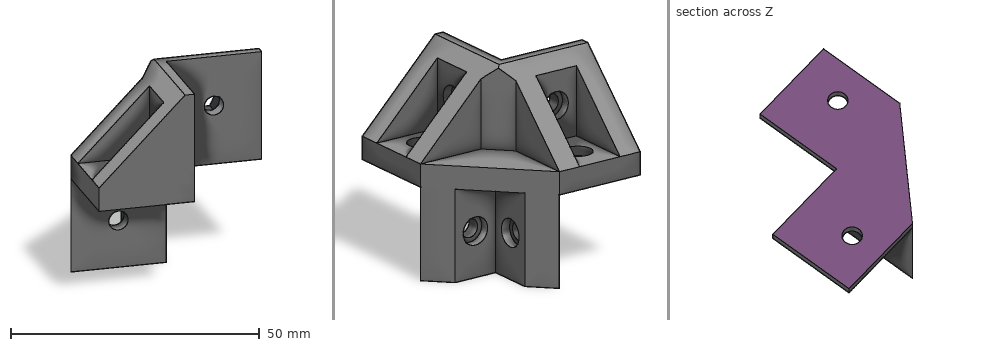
import cadquery as cq

leg = 20.0
wall = 5.0
height = 43.0
rib = 5.0
hole_diameter = 4.0
counterbore_diameter = 6.0
counterbore_depth = 2.0

top = height - leg
land = leg + wall - top
pocket_depth = leg - wall
pocket_width = leg - 2 * rib


def box(x0, x1, y0, y1, z0, z1):
    return cq.Workplane("XY").box(x1 - x0, y1 - y0, z1 - z0, centered=False).translate((x0, y0, z0))


def swap_xy(body):
    """Mirror a body across the vertical plane x = y."""
    return body.mirror(cq.Vector(1, -1, 0), (0, 0, 0))


def sloped_bar(x0, x1):
    """Bar along X with a 45 degree slope rising from the base edge to the top strip."""
    profile = [(-leg, 0), (-leg, wall), (-land, top), (0, top), (0, 0)]
    return cq.Workplane("YZ", origin=(x0, 0, 0)).polyline(profile).close().extrude(x1 - x0)


def screw_hole(seat, direction):
    """Counterbored hole through a plate, starting on the pocket side."""
    start = cq.Vector(*seat)
    axis = cq.Vector(*direction)
    hole = cq.Solid.makeCylinder(hole_diameter / 2, wall, start, axis)
    counterbore = cq.Solid.makeCylinder(counterbore_diameter / 2, counterbore_depth, start, axis)
    return cq.Workplane(hole.fuse(counterbore))


def upper_arm():
    """Arm along +X: base plate, upright plate, two gussets and two screw holes."""
    pocket = box(rib, rib + pocket_width, -leg, -wall, wall, top)
    base_hole = screw_hole((leg / 2, -wall - pocket_depth / 2, wall), (0, 0, -1))
    upright_hole = screw_hole((leg / 2, -wall, wall + pocket_depth / 2), (0, 1, 0))
    return sloped_bar(0, leg).cut(pocket).cut(base_hole).cut(upright_hole)


def triangle_prism(reach, z0, z1):
    """Right-angled prism filling the corner on the -X, -Y side of the origin."""
    points = [(0, 0), (-reach, 0), (0, -reach)]
    return cq.Workplane("XY", origin=(0, 0, z0)).polyline(points).close().extrude(z1 - z0)


def lower_arm():
    """Downward arm: diagonal front face, V-shaped pocket and two screw holes."""
    pocket = box(-leg, -wall, -leg, -wall, -leg, 0)
    hole = screw_hole((-leg / 2, -wall, -leg / 2), (0, 1, 0))
    body = triangle_prism(leg, -leg, wall)
    return body.cut(pocket).cut(hole).cut(swap_xy(hole))


def corner_column():
    """Chamfered column between the uprights, capped by both arm slopes."""
    bar = sloped_bar(-leg, 0)
    return triangle_prism(wall, 0, top).intersect(bar).intersect(swap_xy(bar))


arm = upper_arm()
result = lower_arm().union(corner_column()).union(arm).union(swap_xy(arm)).clean()